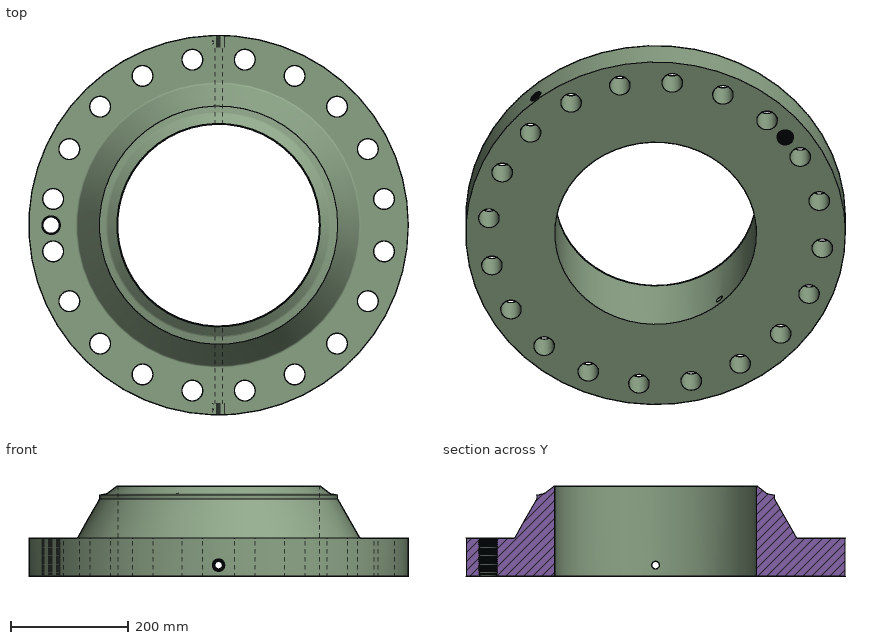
import cadquery as cq
import math

INCH = 25.4

FLANGE_DIAMETER = 647.7
FLANGE_THICKNESS = 65.0
TOTAL_HEIGHT = 154.0
BORE_DIAMETER = 344.0

HUB_BASE_DIAMETER = 482.6
HUB_TOP_DIAMETER = 406.4
HUB_TAPER_TOP = 132.0
HUB_BASE_FILLET = 4.0

ROOT_FACE_WIDTH = 1.6
STEEP_BEVEL_WIDTH = 17.0
STEEP_BEVEL_ANGLE = 37.5
SHALLOW_BEVEL_ANGLE = 10.0
BEVEL_KNEE_FILLET = 5.0

BOLT_CIRCLE_DIAMETER = 571.5
BOLT_COUNT = 20
BOLT_HOLE_DIAMETER = 35.0

JACK_MINOR_DIAMETER = 27.6
JACK_MAJOR_DIAMETER = 1.25 * INCH
JACK_THREADS_PER_INCH = 7

TAP_HEIGHT = 19.0
TAP_BORE_DIAMETER = 12.7
TAP_MAJOR_DIAMETER = 21.3
TAP_THREAD_DEPTH = 1.4
TAP_THREADS_PER_INCH = 14
TAP_THREAD_COUNT = 11
TAP_DIAMETER_TAPER = 1 / 16


def make_body():
    """Flange and weld neck hub, revolved about the Z axis."""
    bore_radius = BORE_DIAMETER / 2
    flange_radius = FLANGE_DIAMETER / 2
    hub_base_radius = HUB_BASE_DIAMETER / 2
    hub_top_radius = HUB_TOP_DIAMETER / 2
    root_radius = bore_radius + ROOT_FACE_WIDTH
    knee_radius = root_radius + STEEP_BEVEL_WIDTH
    steep_drop = STEEP_BEVEL_WIDTH * math.tan(math.radians(STEEP_BEVEL_ANGLE))
    shallow_drop = (hub_top_radius - knee_radius) * math.tan(math.radians(SHALLOW_BEVEL_ANGLE))
    knee_height = TOTAL_HEIGHT - steep_drop
    body = (
        cq.Workplane("XZ")
        .moveTo(bore_radius, 0)
        .lineTo(flange_radius, 0)
        .lineTo(flange_radius, FLANGE_THICKNESS)
        .lineTo(hub_base_radius, FLANGE_THICKNESS)
        .lineTo(hub_top_radius, HUB_TAPER_TOP)
        .lineTo(hub_top_radius, knee_height - shallow_drop)
        .lineTo(knee_radius, knee_height)
        .lineTo(root_radius, TOTAL_HEIGHT)
        .lineTo(bore_radius, TOTAL_HEIGHT)
        .close()
        .revolve(360, (0, 0, 0), (0, 1, 0))
    )
    knee_edge = body.edges("%CIRCLE").edges(cq.selectors.RadiusNthSelector(2))
    body = knee_edge.fillet(BEVEL_KNEE_FILLET)
    hub_base_edge = body.edges("%CIRCLE").edges(cq.selectors.RadiusNthSelector(-2))
    return hub_base_edge.fillet(HUB_BASE_FILLET)


def make_bolt_holes():
    """Ring of through holes straddling the X and Y axes."""
    half_pitch_angle = 180 / BOLT_COUNT
    return (
        cq.Workplane("XY")
        .polarArray(BOLT_CIRCLE_DIAMETER / 2, half_pitch_angle, 360, BOLT_COUNT)
        .circle(BOLT_HOLE_DIAMETER / 2)
        .extrude(FLANGE_THICKNESS)
    )


def make_threaded_hole(major_diameter, thread_depth, pitch, thread_count, taper, bore_diameter, length):
    """Hole cutter running down from the origin: V-shaped thread rings, then a plain bore."""
    profile = cq.Workplane("XZ").lineTo(major_diameter / 2, 0)
    for thread in range(thread_count):
        crest_depth = (thread + 0.5) * pitch
        root_depth = (thread + 1) * pitch
        crest_radius = (major_diameter - taper * crest_depth) / 2 - thread_depth
        root_radius = (major_diameter - taper * root_depth) / 2
        profile = profile.lineTo(crest_radius, -crest_depth).lineTo(root_radius, -root_depth)
    profile = profile.lineTo(bore_diameter / 2, -thread_count * pitch)
    profile = profile.lineTo(bore_diameter / 2, -length).lineTo(0, -length).close()
    return profile.revolve(360, (0, 0, 0), (0, 1, 0))


def make_jack_hole():
    """Through hole threaded over the whole flange thickness."""
    pitch = INCH / JACK_THREADS_PER_INCH
    hole = make_threaded_hole(
        major_diameter=JACK_MAJOR_DIAMETER,
        thread_depth=(JACK_MAJOR_DIAMETER - JACK_MINOR_DIAMETER) / 2,
        pitch=pitch,
        thread_count=math.floor(FLANGE_THICKNESS / pitch),
        taper=0,
        bore_diameter=JACK_MINOR_DIAMETER,
        length=FLANGE_THICKNESS,
    )
    return hole.translate((-BOLT_CIRCLE_DIAMETER / 2, 0, FLANGE_THICKNESS))


def make_pressure_tap():
    """Tapered pipe thread on the -Y side of the rim, leading to a bore that opens into the pipe."""
    tap = make_threaded_hole(
        major_diameter=TAP_MAJOR_DIAMETER,
        thread_depth=TAP_THREAD_DEPTH,
        pitch=INCH / TAP_THREADS_PER_INCH,
        thread_count=TAP_THREAD_COUNT,
        taper=TAP_DIAMETER_TAPER,
        bore_diameter=TAP_BORE_DIAMETER,
        length=FLANGE_DIAMETER / 2,
    )
    tap = tap.rotate((0, 0, 0), (1, 0, 0), 90)
    return tap.translate((0, -FLANGE_DIAMETER / 2, TAP_HEIGHT))


pressure_tap = make_pressure_tap()
result = (
    make_body()
    .cut(make_bolt_holes())
    .cut(make_jack_hole())
    .cut(pressure_tap)
    .cut(pressure_tap.mirror("XZ"))
)